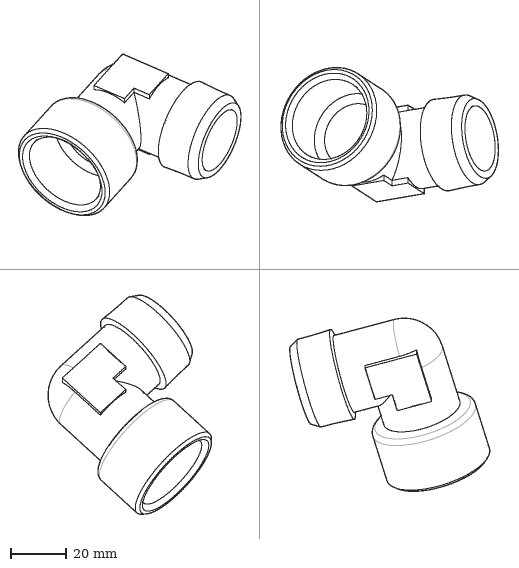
import cadquery as cq
import math

pipe_radius = 14.4
bore_radius = 11.95
drill_tip_angle = 120
shoulder_distance = 22.65
shoulder_slope = 15

socket_length = 45.05
socket_radius = 19.5
socket_fillet = 2.0
socket_chamfer = 1.2
mouth_radius = 16.95
socket_bore_radius = 15.15
socket_depth = 19.2

spigot_length = 39.0
spigot_radius = 16.85
spigot_nose_radius = 16.45
spigot_middle_radius = 16.5
spigot_chamfer_length = 3.2
spigot_chamfer_angle = 30

pad_step = 6.5
pad_reach = 2 * pad_step
pad_height = 15.0

slope = math.tan(math.radians(shoulder_slope))
tip_length = bore_radius / math.tan(math.radians(drill_tip_angle / 2))


def make_socket():
    """Revolve the pipe and socket collar about Y, from the centre to the open end."""
    cone_end = shoulder_distance + (socket_radius - pipe_radius) * slope
    blank = (
        cq.Workplane("XY")
        .moveTo(0, 0)
        .lineTo(pipe_radius, 0)
        .lineTo(pipe_radius, -shoulder_distance)
        .lineTo(socket_radius, -cone_end)
        .lineTo(socket_radius, -socket_length)
        .lineTo(0, -socket_length)
        .close()
        .revolve(360, (0, 0, 0), (0, 1, 0))
    )
    blank = blank.faces("<Y").edges().chamfer(socket_chamfer)
    margin = 0.05
    rim = cq.selectors.BoxSelector(
        (-socket_radius, -cone_end - margin, -socket_radius),
        (socket_radius, -cone_end + margin, socket_radius),
    )
    return blank.edges(rim).fillet(socket_fillet)


def make_spigot():
    """Revolve the pipe and the slightly hollow, tapering spigot about X."""
    collar_start = shoulder_distance + (spigot_radius - pipe_radius) * slope
    nose_start = spigot_length - spigot_chamfer_length
    chamfer_drop = spigot_chamfer_length * math.tan(math.radians(spigot_chamfer_angle))
    return (
        cq.Workplane("XY")
        .moveTo(0, 0)
        .lineTo(0, pipe_radius)
        .lineTo(shoulder_distance, pipe_radius)
        .lineTo(collar_start, spigot_radius)
        .threePointArc(
            ((collar_start + nose_start) / 2, spigot_middle_radius),
            (nose_start, spigot_nose_radius),
        )
        .lineTo(spigot_length, spigot_nose_radius - chamfer_drop)
        .lineTo(spigot_length, 0)
        .close()
        .revolve(360, (0, 0, 0), (1, 0, 0))
    )


def make_pads():
    """L-shaped block whose ends stand proud of the pipe above and below."""
    return (
        cq.Workplane("XY")
        .polyline([
            (-pad_step, pad_step),
            (pad_reach, pad_step),
            (pad_reach, -pad_step),
            (pad_step, -pad_step),
            (pad_step, -pad_reach),
            (-pad_step, -pad_reach),
        ])
        .close()
        .extrude(pad_height, both=True)
    )


def make_socket_bore():
    """Bore along Y with a drill tip, a wider socket with a tapered floor, and a 45 degree mouth."""
    mouth_depth = mouth_radius - socket_bore_radius
    floor_start = socket_length - socket_depth
    floor_taper = (socket_bore_radius - bore_radius) / math.tan(math.radians(drill_tip_angle / 2))
    return (
        cq.Workplane("XY")
        .moveTo(0, tip_length)
        .lineTo(bore_radius, 0)
        .lineTo(bore_radius, floor_taper - floor_start)
        .lineTo(socket_bore_radius, -floor_start)
        .lineTo(socket_bore_radius, mouth_depth - socket_length)
        .lineTo(mouth_radius, -socket_length)
        .lineTo(0, -socket_length)
        .close()
        .revolve(360, (0, 0, 0), (0, 1, 0))
    )


def make_spigot_bore():
    """Plain bore along X with a drill tip."""
    return (
        cq.Workplane("XY")
        .moveTo(-tip_length, 0)
        .lineTo(0, bore_radius)
        .lineTo(spigot_length, bore_radius)
        .lineTo(spigot_length, 0)
        .close()
        .revolve(360, (0, 0, 0), (1, 0, 0))
    )


corner = cq.Workplane("XY").sphere(pipe_radius)
body = make_socket().union(make_spigot()).union(corner).union(make_pads())
result = body.cut(make_socket_bore()).cut(make_spigot_bore())